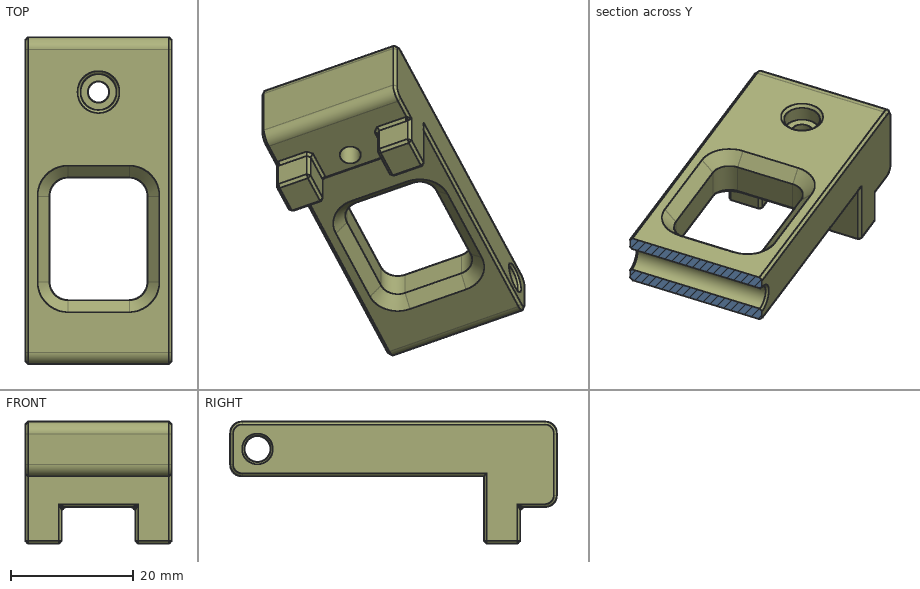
import cadquery as cq

width = 24.0
length = 53.5
height = 20.0

arm_thickness = 9.0
block_height = 14.0
leg_rear_offset = 6.0
leg_depth = 6.0
corner_radius = 2.0
edge_chamfer = 0.5

leg_gap = 12.0

window_width = 16.0
window_length = 20.0
window_corner_radius = 3.0
window_flare = 2.0
flare_angle = 45
window_rear_offset = 23.0

screw_diameter = 3.4
counterbore_diameter = 5.9
counterbore_depth = 3.0
screw_rear_offset = leg_rear_offset + leg_depth / 2

pin_diameter = 4.2
pin_rim_chamfer = 0.4
pin_offset = arm_thickness / 2

front_y = -length / 2
rear_y = length / 2
leg_rear_y = rear_y - leg_rear_offset
leg_front_y = leg_rear_y - leg_depth
block_bottom_z = height - block_height
arm_bottom_z = height - arm_thickness
screw_y = rear_y - screw_rear_offset
window_y = rear_y - window_rear_offset - window_length / 2
pin_y = front_y + pin_offset
pin_z = height - pin_offset


def make_body():
    """L-shaped body with two legs, with rounded front and rear corners."""
    profile = [
        (front_y, height),
        (rear_y, height),
        (rear_y, block_bottom_z),
        (leg_rear_y, block_bottom_z),
        (leg_rear_y, 0),
        (leg_front_y, 0),
        (leg_front_y, arm_bottom_z),
        (front_y, arm_bottom_z),
    ]
    body = cq.Workplane("YZ").polyline(profile).close().extrude(width / 2, both=True)
    body = body.edges("|X and (<Y or >Y)").fillet(corner_radius)
    gap = cq.Workplane("XY").box(leg_gap, length, block_bottom_z, centered=(True, True, False))
    return body.cut(gap)


def break_outer_edges(body):
    """Chamfer the side outlines, the leg edges and the front edge of the gap roof."""
    outline_and_leg_edges = cq.StringSyntaxSelector("<X or >X or <Z or |Z")
    gap_roof_front_edge = cq.NearestToPointSelector((0, leg_front_y, block_bottom_z))
    return body.edges(outline_and_leg_edges + gap_roof_front_edge).chamfer(edge_chamfer)


def fill_leg_roots(body):
    """Chamfer the inside corners where the legs meet the underside of the block."""
    half_slab = edge_chamfer / 4
    root_edges = cq.selectors.BoxSelector(
        (-width / 2, leg_front_y + 2 * edge_chamfer, block_bottom_z - half_slab),
        (width / 2, leg_rear_y + edge_chamfer, block_bottom_z + half_slab),
    )
    return body.edges(root_edges).chamfer(edge_chamfer)


def corner_gusset(root_end, outward, along_block):
    """Tetrahedron that runs a filled leg root out to a point where two edge chamfers meet.

    root_end is the end of the root's corner line. The unit vector outward points out of the
    chamfered face, and along_block points along the underside, away from the leg.
    """
    down = cq.Vector(0, 0, -1)
    tip = root_end + (outward - along_block - down) * edge_chamfer
    block_point = root_end + along_block * edge_chamfer
    leg_point = root_end + down * edge_chamfer
    corners = [root_end, block_point, leg_point, tip]
    faces = []
    for skipped in corners:
        triangle = [corner for corner in corners if corner is not skipped]
        faces.append(cq.Face.makeFromWires(cq.Wire.makePolygon(triangle, close=True)))
    return cq.Workplane(cq.Solid.makeSolid(cq.Shell.makeShell(faces)))


def add_corner_gussets(body):
    """Finish the open ends of the leg roots, at both sides and at the front of the gap."""
    for side in (-1, 1):
        side_end = cq.Vector(side * (width / 2 - edge_chamfer), leg_rear_y, block_bottom_z)
        gap_end = cq.Vector(side * leg_gap / 2, leg_front_y + edge_chamfer, block_bottom_z)
        body = body.union(corner_gusset(side_end, cq.Vector(side, 0, 0), cq.Vector(0, 1, 0)))
        body = body.union(corner_gusset(gap_end, cq.Vector(0, -1, 0), cq.Vector(-side, 0, 0)))
    return body


def rim_chamfer(hole_diameter, size, origin, direction):
    """Cutter for a 45 degree chamfer at a hole's mouth, running into the part along direction."""
    hole_radius = hole_diameter / 2
    cone = cq.Solid.makeCone(
        hole_radius + size, hole_radius, size, cq.Vector(origin), cq.Vector(direction)
    )
    return cq.Workplane(cone)


def cut_screw_hole(body):
    """Counterbored vertical hole that comes out between the legs."""
    screw_center = cq.Workplane("XY").center(0, screw_y)
    through_hole = screw_center.circle(screw_diameter / 2).extrude(height)
    counterbore = (
        screw_center.workplane(offset=height).circle(counterbore_diameter / 2).extrude(-counterbore_depth)
    )
    rim = rim_chamfer(counterbore_diameter, edge_chamfer, (0, screw_y, height), (0, 0, -1))
    return body.cut(through_hole).cut(counterbore).cut(rim)


def cut_pin_hole(body):
    """Cross hole near the front end, chamfered at both mouths."""
    hole = cq.Workplane("YZ").center(pin_y, pin_z).circle(pin_diameter / 2).extrude(width / 2, both=True)
    body = body.cut(hole)
    for side in (-1, 1):
        mouth = (side * width / 2, pin_y, pin_z)
        body = body.cut(rim_chamfer(pin_diameter, pin_rim_chamfer, mouth, (-side, 0, 0)))
    return body


def window_prism(growth, base_z, depth, taper=0):
    """Rounded window outline, enlarged all round by growth, extruded from base_z by depth."""
    outline = cq.Sketch().rect(window_width + 2 * growth, window_length + 2 * growth)
    outline = outline.vertices().fillet(window_corner_radius + growth)
    base = cq.Workplane("XY", origin=(0, window_y, base_z))
    return base.placeSketch(outline).extrude(depth, taper=taper)


def cut_window(body):
    """Rounded window that flares out at 45 degrees towards both mouths."""
    opening = window_prism(0, arm_bottom_z, arm_thickness)
    top_flare = window_prism(window_flare, height, -window_flare, taper=flare_angle)
    bottom_flare = window_prism(window_flare, arm_bottom_z, window_flare, taper=flare_angle)
    return body.cut(opening).cut(top_flare).cut(bottom_flare)


body = break_outer_edges(make_body())
body = fill_leg_roots(body)
body = add_corner_gussets(body)
body = cut_screw_hole(body)
body = cut_pin_hole(body)
result = cut_window(body)